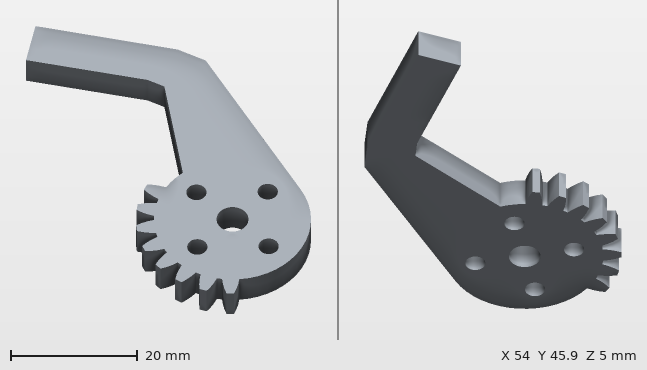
import cadquery as cq
import math

thickness = 5.0
hub_radius = 12.35

wheel_teeth = 22
sector_teeth = 8
tooth_pitch = 360 / wheel_teeth
first_tooth_angle = 270 + tooth_pitch
tip_radius = 15.25
flank_radius = 13.85
root_half_width = 1.35
flank_half_width = 1.1
tip_half_width = 0.6
tooth_embed = 1.6

bore_diameter = 5.0
bolt_hole_diameter = 3.2
bolt_circle_radius = 7.95
first_bolt_angle = 63.4
bolt_count = 4

end_outer = (-41.65, 28.4)
outer_bend_start = (-18.85, 30.65)
outer_bend_end = (-13.95, 29.8)
end_inner = (-40.95, 21.3)
inner_bend_start = (-21.45, 23.25)
inner_bend_end = (-18.55, 22.75)
inner_edge_foot = (-7.55, 1.25)


def upper_tangent_point(point, radius):
    """Point where the line from an outside point touches the top of a circle at the origin."""
    distance = math.hypot(*point)
    angle = math.atan2(point[1], point[0]) - math.acos(radius / distance)
    return (radius * math.cos(angle), radius * math.sin(angle))


def make_arm():
    outline = [
        end_outer,
        outer_bend_start,
        outer_bend_end,
        upper_tangent_point(outer_bend_end, hub_radius),
        (0, 0),
        inner_edge_foot,
        inner_bend_end,
        inner_bend_start,
        end_inner,
    ]
    return cq.Workplane("XY").polyline(outline).close().extrude(thickness)


def make_tooth(angle):
    """Tooth with convex flanks, drawn along +X and turned to its angle."""
    root_radius = math.sqrt(hub_radius**2 - root_half_width**2)
    inner_radius = root_radius - tooth_embed
    tooth = (
        cq.Workplane("XY")
        .moveTo(inner_radius, -root_half_width)
        .lineTo(root_radius, -root_half_width)
        .threePointArc((flank_radius, -flank_half_width), (tip_radius, -tip_half_width))
        .lineTo(tip_radius, tip_half_width)
        .threePointArc((flank_radius, flank_half_width), (root_radius, root_half_width))
        .lineTo(inner_radius, root_half_width)
        .close()
        .extrude(thickness)
    )
    return tooth.rotate((0, 0, 0), (0, 0, 1), angle)


body = cq.Workplane("XY").circle(hub_radius).extrude(thickness)
body = body.union(make_arm())
for index in range(sector_teeth):
    body = body.union(make_tooth(first_tooth_angle - index * tooth_pitch))

bore = cq.Workplane("XY").circle(bore_diameter / 2).extrude(thickness)
bolt_holes = (
    cq.Workplane("XY")
    .polarArray(bolt_circle_radius, first_bolt_angle, 360, bolt_count)
    .circle(bolt_hole_diameter / 2)
    .extrude(thickness)
)
result = body.cut(bore).cut(bolt_holes)